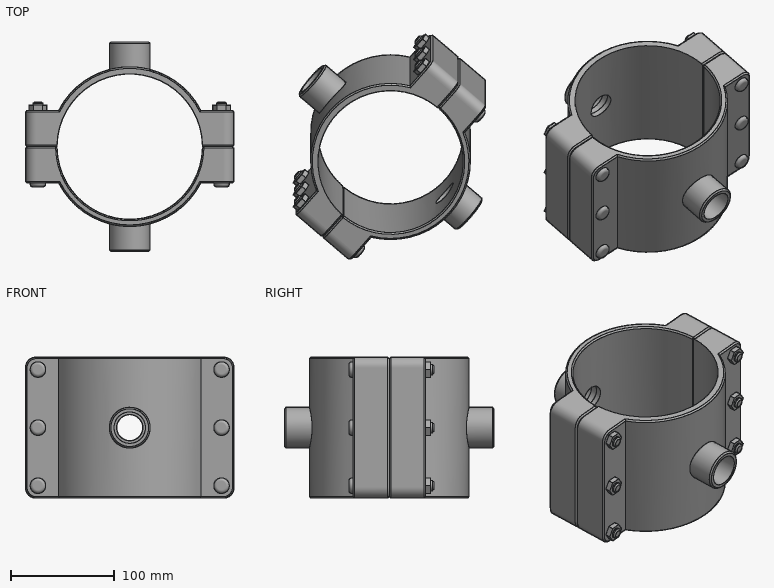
import cadquery as cq

HEIGHT = 136.0
BORE_RADIUS = 70.0
WALL = 7.0
OUTER_RADIUS = BORE_RADIUS + WALL
MID_WALL_RADIUS = BORE_RADIUS + WALL / 2
EDGE_CHAMFER = 1.5

FLANGE_HALF_WIDTH = 100.5
FLANGE_DEPTH = 35.0
CORNER_RADIUS = 10.0

NOZZLE_END = 101.0
NOZZLE_DIAMETER = 39.38
NOZZLE_CHAMFER = 1.5
NOZZLE_SEAT_DEPTH = 2.0
SADDLE_RADIUS = OUTER_RADIUS - NOZZLE_SEAT_DEPTH
SOCKET_DIAMETER = 30.29
SOCKET_DEPTH = 20.5
PORT_DIAMETER = 25.0

FASTENER_INSET = 12.0
FASTENER_X = FLANGE_HALF_WIDTH - FASTENER_INSET
FASTENER_Z = HEIGHT / 2 - FASTENER_INSET
FASTENER_POINTS = [(x, z) for x in (-FASTENER_X, FASTENER_X) for z in (-FASTENER_Z, 0, FASTENER_Z)]
HEAD_DIAMETER = 15.0
HEAD_HEIGHT = 4.0
HEAD_ROUND = 3.0
NUT_ACROSS_CORNERS = 17.32
NUT_HEIGHT = 5.0
BOLT_DIAMETER = 10.0
BOLT_END_LENGTH = 8.0
BOLT_END_CHAMFER = 1.5

FRONT = -1
BACK = 1


def outward_plane(side, distance=0):
    """Workplane at a distance from the joint, facing away from it along side * Y."""
    plane = cq.Plane(origin=(0, side * distance, 0), xDir=(1, 0, 0), normal=(0, side, 0))
    return cq.Workplane(plane)


def outer_face(side):
    """Selector for the face farthest from the joint."""
    return ">Y" if side == BACK else "<Y"


def upright_cylinder(radius):
    return cq.Workplane("XY", origin=(0, 0, -HEIGHT / 2)).circle(radius).extrude(HEIGHT)


def half_disc(side):
    """Half of the solid barrel, on one side of the joint."""
    return (
        cq.Workplane("XY", origin=(0, 0, -HEIGHT / 2))
        .moveTo(-OUTER_RADIUS, 0)
        .threePointArc((0, side * OUTER_RADIUS), (OUTER_RADIUS, 0))
        .close()
        .extrude(HEIGHT)
    )


def flanges(side):
    """Both flanges of one half, running into the middle of the barrel wall."""
    return (
        outward_plane(side)
        .rect(2 * FLANGE_HALF_WIDTH, HEIGHT)
        .extrude(FLANGE_DEPTH)
        .edges("|Y")
        .fillet(CORNER_RADIUS)
        .faces("|Y")
        .edges()
        .chamfer(EDGE_CHAMFER)
        .cut(upright_cylinder(MID_WALL_RADIUS))
    )


def bolt_heads():
    return (
        outward_plane(FRONT, FLANGE_DEPTH)
        .pushPoints(FASTENER_POINTS)
        .circle(HEAD_DIAMETER / 2)
        .extrude(HEAD_HEIGHT)
        .faces(outer_face(FRONT))
        .edges()
        .fillet(HEAD_ROUND)
    )


def nuts():
    return (
        outward_plane(BACK, FLANGE_DEPTH)
        .pushPoints(FASTENER_POINTS)
        .polygon(6, NUT_ACROSS_CORNERS)
        .extrude(NUT_HEIGHT)
    )


def bolt_ends():
    return (
        outward_plane(BACK, FLANGE_DEPTH)
        .pushPoints(FASTENER_POINTS)
        .circle(BOLT_DIAMETER / 2)
        .extrude(BOLT_END_LENGTH)
        .faces(outer_face(BACK))
        .edges()
        .chamfer(BOLT_END_CHAMFER)
    )


def make_nozzle(side):
    """Branch nozzle with a saddle base, a through port and a wider socket at its end."""
    socket_floor = NOZZLE_END - SOCKET_DEPTH
    port = outward_plane(side).circle(PORT_DIAMETER / 2).extrude(NOZZLE_END)
    socket = outward_plane(side, socket_floor).circle(SOCKET_DIAMETER / 2).extrude(SOCKET_DEPTH)
    return (
        outward_plane(side)
        .circle(NOZZLE_DIAMETER / 2)
        .extrude(NOZZLE_END)
        .faces(outer_face(side))
        .chamfer(NOZZLE_CHAMFER)
        .cut(upright_cylinder(SADDLE_RADIUS))
        .cut(port)
        .cut(socket)
    )


def make_clamp(nozzles):
    """Both clamp halves with their fasteners as one solid, with ports and nozzle seats cut in."""
    bore = upright_cylinder(BORE_RADIUS)
    front_barrel = half_disc(FRONT).cut(bore).edges().chamfer(EDGE_CHAMFER)
    back_barrel = half_disc(BACK).edges().chamfer(EDGE_CHAMFER).cut(bore)
    front_half = front_barrel.union(flanges(FRONT)).union(bolt_heads())
    back_half = back_barrel.union(flanges(BACK)).union(nuts()).union(bolt_ends())
    ports = cq.Workplane("XZ").circle(PORT_DIAMETER / 2).extrude(NOZZLE_END, both=True)
    clamp = front_half.union(back_half).cut(ports)
    for nozzle in nozzles:
        clamp = clamp.cut(nozzle)
    return clamp


nozzles = [make_nozzle(side) for side in (FRONT, BACK)]
clamp = make_clamp(nozzles)
result = cq.Compound.makeCompound([body.solids().val() for body in (clamp, *nozzles)])